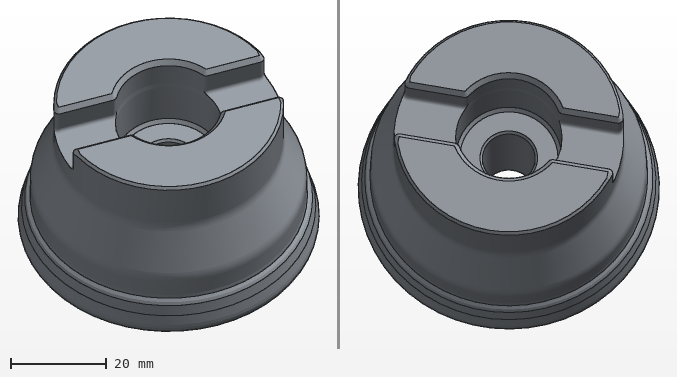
import cadquery as cq
import math

TOTAL_HEIGHT = 40.0
EDGE_BREAK = 1.0

HUB_DIAMETER = 48.0
HUB_CHAMFER = 0.55
HUB_BASE_Z = 27.95
COLLAR_DIAMETER = 57.8
COLLAR_TOP_Z = 17.3
SHOULDER_BLEND = 5.0
STEP_TOP = (COLLAR_DIAMETER / 2, 11.85)
STEP_UPPER = (29.0, 11.1)
STEP_LOWER = (29.7, 10.5)
RIM_TOP = (30.1, 9.95)
OUTER_RADIUS = 31.5
NOSE_RADIUS = 2.8
NOSE_CENTER_Z = 4.4
NOSE_FLATS = 5
NOSE_START_ANGLE = 16.0
NOSE_END_ANGLE = -69.0
END_FACE_RADIUS = 24.9

RING_TOP_Z = 7.5
RING_INNER_RADIUS = 27.2

MOUTH_DIAMETER = 22.2
BORE_DIAMETER = 22.0
BORE_TAPER_LENGTH = 1.2
BORE_DEPTH = 18.25
BORE_FLOOR_RADIUS = 10.25
SCREW_HOLE_DIAMETER = 11.0
SCREW_HOLE_CHAMFER = 0.5

SLOT_WIDTH = 10.4
SLOT_DEPTH = 6.5
SLOT_FILLET = 0.8
SLOT_CORNER_ROUND = 1.1

HUB_RADIUS = HUB_DIAMETER / 2
MOUTH_RADIUS = MOUTH_DIAMETER / 2
SLOT_FLOOR_Z = TOTAL_HEIGHT - SLOT_DEPTH


def revolve_about_z(outline):
    """Revolve a sketch drawn in (radius, height) about the Z axis."""
    return cq.Workplane("XZ").placeSketch(outline).revolve(360, (0, 0), (0, 1))


def nose_corners():
    """Corners of the equal flats round the cutting nose, from the rim down to the end cone."""
    center_radius = OUTER_RADIUS - NOSE_RADIUS
    turn = (NOSE_END_ANGLE - NOSE_START_ANGLE) / NOSE_FLATS
    corners = []
    for i in range(NOSE_FLATS + 1):
        angle = math.radians(NOSE_START_ANGLE + i * turn)
        corners.append((
            center_radius + NOSE_RADIUS * math.cos(angle),
            NOSE_CENTER_Z + NOSE_RADIUS * math.sin(angle),
        ))
    return corners


def outer_form():
    """Solid form of the whole cutter, without bore or slot."""
    hub_base = (HUB_RADIUS, HUB_BASE_Z)
    collar_top = (STEP_TOP[0], COLLAR_TOP_Z)
    outline = cq.Sketch().polygon([
        (0, 0),
        (0, TOTAL_HEIGHT),
        (HUB_RADIUS - HUB_CHAMFER, TOTAL_HEIGHT),
        (HUB_RADIUS, TOTAL_HEIGHT - HUB_CHAMFER),
        hub_base,
        collar_top,
        STEP_TOP,
        STEP_UPPER,
        STEP_LOWER,
        RIM_TOP,
        *nose_corners(),
        (END_FACE_RADIUS, 0),
        (0, 0),
    ])
    for radius, height in (hub_base, collar_top):
        corner = cq.selectors.NearestToPointSelector((radius, height, 0))
        outline = outline.reset().vertices(corner).fillet(SHOULDER_BLEND)
    return revolve_about_z(outline)


def bore_cutter():
    """Stepped bore: mouth, tapered lead-in, bore and screw hole."""
    bore_radius = BORE_DIAMETER / 2
    screw_radius = SCREW_HOLE_DIAMETER / 2
    floor_z = TOTAL_HEIGHT - BORE_DEPTH
    floor_chamfer = bore_radius - BORE_FLOOR_RADIUS
    outline = cq.Sketch().polygon([
        (0, 0),
        (screw_radius, 0),
        (screw_radius, floor_z - SCREW_HOLE_CHAMFER),
        (screw_radius + SCREW_HOLE_CHAMFER, floor_z),
        (BORE_FLOOR_RADIUS, floor_z),
        (bore_radius, floor_z + floor_chamfer),
        (bore_radius, SLOT_FLOOR_Z - BORE_TAPER_LENGTH),
        (MOUTH_RADIUS, SLOT_FLOOR_Z),
        (MOUTH_RADIUS, TOTAL_HEIGHT),
        (0, TOTAL_HEIGHT),
        (0, 0),
    ])
    return revolve_about_z(outline)


def drive_land():
    """Block on the +X side of the slot, hollowed by the bore mouth, with rounded corners."""
    half_slot = SLOT_WIDTH / 2
    mouth_corner_y = math.sqrt(MOUTH_RADIUS**2 - half_slot**2)
    end_y = math.sqrt(HUB_RADIUS**2 - (half_slot + SLOT_CORNER_ROUND) ** 2)
    land = (
        cq.Workplane("XY", origin=(half_slot, 0, SLOT_FLOOR_Z))
        .box(HUB_DIAMETER, 2 * end_y, SLOT_DEPTH, centered=(False, True, False))
    )
    mouth = cq.Workplane("XY", origin=(0, 0, SLOT_FLOOR_Z)).circle(MOUTH_RADIUS).extrude(SLOT_DEPTH)
    land = land.cut(mouth)
    middle_z = SLOT_FLOOR_Z + SLOT_DEPTH / 2
    for y in (-end_y, -mouth_corner_y, mouth_corner_y, end_y):
        corner = cq.selectors.NearestToPointSelector((half_slot, y, middle_z))
        land = land.edges(corner).fillet(SLOT_CORNER_ROUND)
    return land.faces(">Z").chamfer(EDGE_BREAK)


def slotted_envelope():
    """Everything below the slot floor plus the two lands, with rounded slot floor corners."""
    base = cq.Workplane("XY").box(4 * HUB_DIAMETER, 4 * HUB_DIAMETER, SLOT_FLOOR_Z, centered=(True, True, False))
    land = drive_land()
    envelope = base.union(land).union(land.rotate((0, 0, 0), (0, 0, 1), 180))
    land_foot = cq.selectors.BoxSelector(
        (-1.5 * HUB_DIAMETER, -HUB_DIAMETER, SLOT_FLOOR_Z - SLOT_FILLET),
        (1.5 * HUB_DIAMETER, HUB_DIAMETER, SLOT_FLOOR_Z + SLOT_FILLET),
    )
    return envelope.edges(land_foot).fillet(SLOT_FILLET)


def ring_zone():
    """Space around the rim taken by the cutting ring."""
    reach = OUTER_RADIUS + NOSE_RADIUS
    return (
        cq.Workplane("XY")
        .circle(reach)
        .circle(RING_INNER_RADIUS)
        .extrude(RING_TOP_Z)
    )


form = outer_form()
cutter_body = form.intersect(slotted_envelope()).cut(bore_cutter()).cut(ring_zone()).clean()
cutting_ring = form.intersect(ring_zone())

result = cq.Compound.makeCompound([cutter_body.val(), cutting_ring.val()])